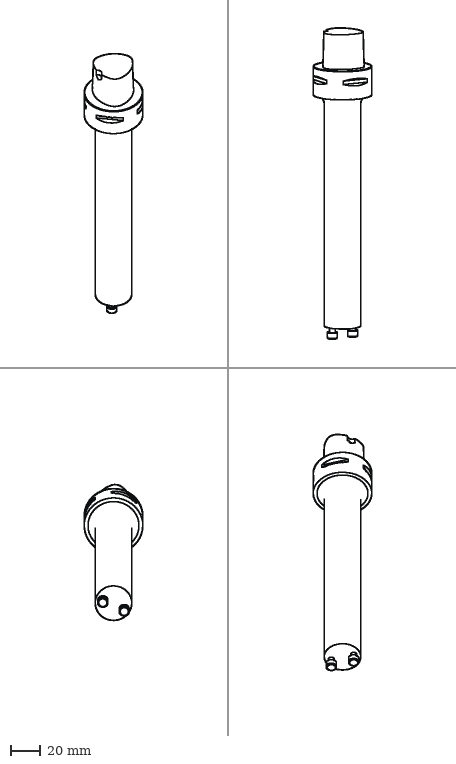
import cadquery as cq
import math

total_height = 212.0
taper_height = 24.0
flange_height = 20.0
neck_height = 6.4
pin_drop = 8.0

flange_top = total_height - taper_height
flange_bottom = flange_top - flange_height
neck_bottom = flange_bottom - neck_height
shank_bottom = pin_drop

flange_radius = 40.0 / 2
shank_radius = 25.0 / 2
neck_radius = 17.4
flange_chamfer = 0.5

lobe_count = 3
base_lobe_radius = 8.0
lobe_center_radius = 7.0
taper_slope = 1 / 40
lobe_half_angle = 90 / lobe_count

notch_radius = 3.4
notch_center_y = -14.0
notch_depth = 4.0

groove_count = 4
groove_center_drop = 8.0
groove_floor_width = 2.3
groove_depth = 2.3
groove_wall_angle = 30

pin_radius = 4.0 / 2
head_radius = 7.0 / 2
head_height = 4.2
head_chamfer = 0.6
pin_spacing = 11.2
pin_sides = (-1, 1)


def polar(radius, angle, center=(0, 0)):
    """Point at a radius and an angle in degrees around a center."""
    turn = math.radians(angle)
    return (center[0] + radius * math.cos(turn), center[1] + radius * math.sin(turn))


def make_body():
    """Turned body: shank, concave neck and flange."""
    profile = (
        cq.Workplane("XZ")
        .moveTo(0, shank_bottom)
        .lineTo(shank_radius, shank_bottom)
        .lineTo(shank_radius, neck_bottom)
        .tangentArcPoint((neck_radius, flange_bottom), relative=False)
        .lineTo(flange_radius, flange_bottom)
        .lineTo(flange_radius, flange_top - flange_chamfer)
        .lineTo(flange_radius - flange_chamfer, flange_top)
        .lineTo(0, flange_top)
        .close()
    )
    return profile.revolve(360, (0, 0, 0), (0, 1, 0))


def lobed_wire(height, lobe_radius):
    """Constant-width outline with one lobe pointing to +Y."""
    side_radius = lobe_radius + lobe_center_radius * math.sqrt(3)
    step = 360 / lobe_count
    lobe_angles = [90 + step * i for i in range(lobe_count)]
    first_center = polar(lobe_center_radius, lobe_angles[0])
    outline = cq.Workplane("XY", origin=(0, 0, height))
    outline = outline.moveTo(*polar(lobe_radius, lobe_angles[0] - lobe_half_angle, first_center))
    for angle in lobe_angles:
        center = polar(lobe_center_radius, angle)
        next_center = polar(lobe_center_radius, angle + step)
        tip = polar(lobe_radius, angle, center)
        lobe_end = polar(lobe_radius, angle + lobe_half_angle, center)
        side_middle = polar(side_radius - lobe_center_radius, angle + step / 2)
        side_end = polar(lobe_radius, angle + step - lobe_half_angle, next_center)
        outline = outline.threePointArc(tip, lobe_end).threePointArc(side_middle, side_end)
    return outline.close().val()


def make_lobed_taper():
    """Lobed end that narrows evenly toward the top."""
    top_lobe_radius = base_lobe_radius - taper_height * taper_slope
    base = lobed_wire(flange_top, base_lobe_radius)
    top = lobed_wire(total_height, top_lobe_radius)
    return cq.Workplane(cq.Solid.makeLoft([base, top], True))


def make_notch():
    """Upright drilled hole with a 90 degree point, open at the top end."""
    straight_end = total_height - notch_depth
    profile = (
        cq.Workplane("XZ", origin=(0, notch_center_y, 0))
        .moveTo(0, total_height)
        .lineTo(notch_radius, total_height)
        .lineTo(notch_radius, straight_end)
        .lineTo(0, straight_end - notch_radius)
        .close()
    )
    return profile.revolve(360, (0, 0, 0), (0, 1, 0))


def make_groove():
    """Straight trapezoidal cutter running along Y, reaching outward from the groove floor on +X."""
    center_height = flange_top - groove_center_drop
    floor_half = groove_floor_width / 2
    floor_distance = flange_radius - groove_depth
    mouth_half = floor_half + groove_depth * math.tan(math.radians(groove_wall_angle))
    return (
        cq.Workplane("XZ")
        .moveTo(floor_distance, center_height - floor_half)
        .lineTo(flange_radius, center_height - mouth_half)
        .lineTo(flange_radius, center_height + mouth_half)
        .lineTo(floor_distance, center_height + floor_half)
        .close()
        .extrude(flange_radius, both=True)
    )


def make_pin():
    """Pin with a chamfered head at its lower end."""
    stem = cq.Workplane("XY").circle(pin_radius).extrude(pin_drop)
    head = cq.Workplane("XY").circle(head_radius).extrude(head_height)
    return stem.union(head.faces("<Z").chamfer(head_chamfer))


result = make_body().union(make_lobed_taper()).cut(make_notch())

for index in range(groove_count):
    groove_angle = (index + 0.5) * 360 / groove_count
    result = result.cut(make_groove().rotate((0, 0, 0), (0, 0, 1), groove_angle))

for side in pin_sides:
    offset = side * pin_spacing / 2
    result = result.union(make_pin().translate((offset, -offset, 0)))